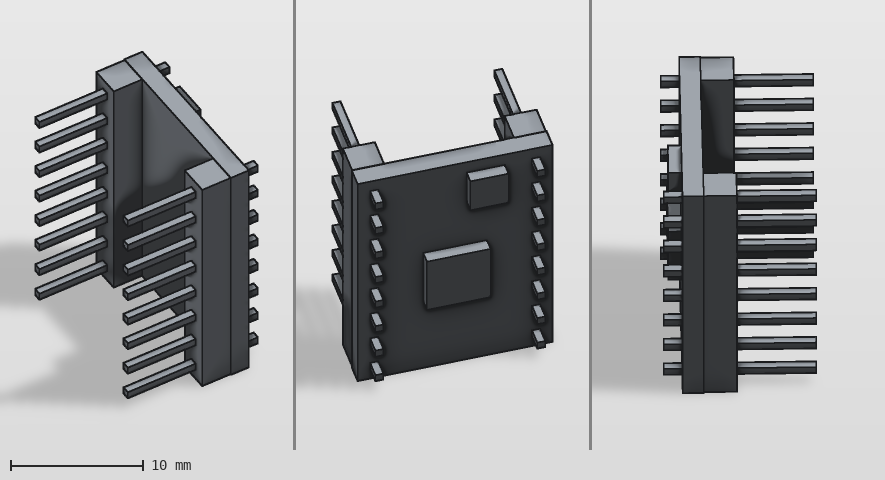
import cadquery as cq

board_width = 15.3
board_height = 20.4
board_thickness = 1.6

pins_per_row = 8
header_length = 20.32
pitch = header_length / pins_per_row
header_width = 2.5
header_depth = header_width
row_spacing = 5 * pitch

pin_side = 0.63
overall_depth = 11.5
pin_back_length = 1.4

component_depth = 1.0
chip_side = 5.0
chip_z = -0.8
trimmer_side = 3.0
trimmer_x = -2.4
trimmer_z = 3 * pitch

board_back_y = board_thickness
header_front_y = -header_depth
pin_back_y = board_back_y + pin_back_length
pin_front_y = pin_back_y - overall_depth


def block(width, height, front_y, back_y, x=0.0, z=0.0):
    """Box centred on (x, z) and reaching from front_y to back_y."""
    depth = back_y - front_y
    return cq.Workplane("XY").box(width, depth, height).translate((x, front_y + depth / 2, z))


def header_row(x):
    """Header strip with its evenly spaced through pins."""
    row = block(header_width, header_length, header_front_y, 0.0, x)
    for index in range(pins_per_row):
        z = (index - (pins_per_row - 1) / 2) * pitch
        row = row.union(block(pin_side, pin_side, pin_front_y, pin_back_y, x, z))
    return row


def back_component(side, x, z):
    """Square component seated on the back face of the board."""
    return block(side, side, board_back_y, board_back_y + component_depth, x, z)


result = block(board_width, board_height, 0.0, board_back_y)
for row_x in (-row_spacing / 2, row_spacing / 2):
    result = result.union(header_row(row_x))
result = result.union(back_component(chip_side, 0.0, chip_z))
result = result.union(back_component(trimmer_side, trimmer_x, trimmer_z))